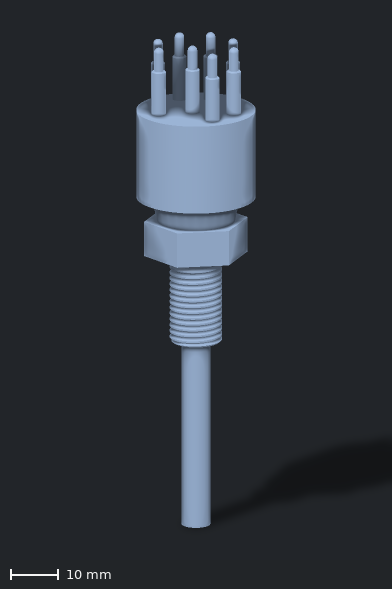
import cadquery as cq
import math

cable_length = 40.0
thread_length = 17.0
neck_length = 2.0
hex_height = 7.5
collar_height = 5.0
body_height = 19.0
total_height = 105.0

thread_base = cable_length
thread_top = thread_base + thread_length
hex_base = thread_top + neck_length
collar_base = hex_base + hex_height
body_base = collar_base + collar_height
body_top = body_base + body_height

cable_diameter = 6.0
neck_diameter = 9.11
thread_diameter = 11.0
thread_root_diameter = 9.4
hex_across_flats = 19.0
hex_side_count = 6
collar_base_diameter = 16.5
collar_top_diameter = 18.5
body_diameter = 25.0

thread_pitch = 1.27
thread_angle = 60.0
thread_end_chamfer = 0.5
groove_overcut = 0.1
groove_start_angle = 95.0

pin_diameter = 3.0
pin_tip_diameter = 2.0
pin_tip_length = 5.0
pin_shoulder_chamfer = 0.25
pin_circle_radius = 8.5
pin_spacing_angle = 45.0
circle_pin_count = 7
first_pin_angle = -45.0
inner_pin_offset = 2.0


def cylinder(diameter, base, top):
    """Round bar on the part axis between two heights."""
    return cq.Workplane("XY").workplane(offset=base).circle(diameter / 2).extrude(top - base)


def groove_turn():
    """One right-hand turn of the V-shaped thread groove, starting at z = 0."""
    root_radius = thread_root_diameter / 2
    cutter_radius = thread_diameter / 2 + groove_overcut
    half_width = (cutter_radius - root_radius) * math.tan(math.radians(thread_angle / 2))
    path = cq.Workplane(obj=cq.Wire.makeHelix(thread_pitch, thread_pitch, root_radius))
    return (
        cq.Workplane("XZ")
        .moveTo(root_radius, 0)
        .lineTo(cutter_radius, half_width)
        .lineTo(cutter_radius, -half_width)
        .close()
        .sweep(path, isFrenet=True)
        .rotate((0, 0, 0), (0, 0, 1), groove_start_angle)
    )


def thread():
    """Threaded stem: a chamfered bar with the groove cut turn by turn past both ends."""
    stem = cylinder(thread_diameter, thread_base, thread_top).edges().chamfer(thread_end_chamfer)
    turn = groove_turn()
    turn_count = math.ceil(thread_length / thread_pitch) + 1
    for index in range(turn_count):
        turn_base = thread_base + (index - 1) * thread_pitch
        stem = stem.cut(turn.translate((0, 0, turn_base)))
    return stem


def hexagon():
    """Wrench hexagon with two corners on the Y axis."""
    across_corners = hex_across_flats / math.cos(math.pi / hex_side_count)
    return (
        cq.Workplane("XY")
        .workplane(offset=hex_base)
        .transformed(rotate=(0, 0, 90))
        .polygon(hex_side_count, across_corners)
        .extrude(hex_height)
    )


def collar():
    """Tapered collar widening from the hexagon to the body."""
    return (
        cq.Workplane("XY")
        .workplane(offset=collar_base)
        .circle(collar_base_diameter / 2)
        .workplane(offset=collar_height)
        .circle(collar_top_diameter / 2)
        .loft()
    )


def pin(x, y):
    """Stepped contact pin with a chamfered shoulder and a rounded tip."""
    radius = pin_diameter / 2
    tip_radius = pin_tip_diameter / 2
    length = total_height - body_top
    shoulder = length - pin_tip_length
    dome_base = length - tip_radius
    dome_mid = tip_radius * math.sqrt(0.5)
    profile = (
        cq.Workplane("XZ")
        .lineTo(radius, 0)
        .lineTo(radius, shoulder - pin_shoulder_chamfer)
        .lineTo(radius - pin_shoulder_chamfer, shoulder)
        .lineTo(tip_radius, shoulder)
        .lineTo(tip_radius, dome_base)
        .threePointArc((dome_mid, dome_base + dome_mid), (0, length))
        .close()
    )
    return profile.revolve(360, (0, 0, 0), (0, 1, 0)).translate((x, y, body_top))


result = (
    cylinder(cable_diameter, 0, thread_base)
    .union(thread())
    .union(cylinder(neck_diameter, thread_top, hex_base))
    .union(hexagon())
    .union(collar())
    .union(cylinder(body_diameter, body_base, body_top))
)

for index in range(circle_pin_count):
    angle = math.radians(first_pin_angle + index * pin_spacing_angle)
    pin_x = pin_circle_radius * math.cos(angle)
    pin_y = pin_circle_radius * math.sin(angle)
    result = result.union(pin(pin_x, pin_y))
result = result.union(pin(0, -inner_pin_offset))